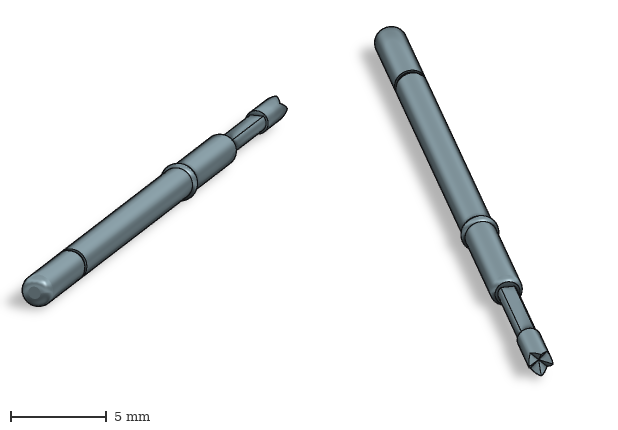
import cadquery as cq
import math

length = 37.3
groove_start = 5.37
groove_end = 5.67
ring_center = 22.3
ring_width = 0.6
barrel_front = 29.1
shoulder_length = 0.37
head_length = 3.0

barrel_radius = 0.85
ring_radius = 1.0
groove_radius = 0.75
shoulder_radius = 0.67
plunger_radius = 0.52
head_radius = 0.65
rear_rounding = 0.52

flat_height = 0.37
notch_depth = 0.65
notch_count = 2

head_back = length - head_length


def make_turned_body():
    """Barrel, retaining ring, plunger and head turned about the Y axis."""
    ring_back = ring_center - ring_width / 2
    ring_front = ring_center + ring_width / 2
    diagonal = math.sqrt(0.5)
    rear_mid = (
        barrel_radius - rear_rounding * (1 - diagonal),
        rear_rounding * (1 - diagonal),
    )
    shoulder_back = barrel_front - shoulder_length
    profile = (
        cq.Workplane("XY")
        .lineTo(barrel_radius - rear_rounding, 0)
        .threePointArc(rear_mid, (barrel_radius, rear_rounding))
        .lineTo(barrel_radius, groove_start)
        .lineTo(groove_radius, groove_start)
        .lineTo(groove_radius, groove_end)
        .lineTo(barrel_radius, groove_end)
        .lineTo(barrel_radius, ring_back)
        .threePointArc((ring_radius, ring_center), (barrel_radius, ring_front))
        .lineTo(barrel_radius, shoulder_back)
        .tangentArcPoint((shoulder_radius, barrel_front), relative=False)
        .lineTo(plunger_radius, barrel_front)
        .lineTo(plunger_radius, head_back)
        .lineTo(head_radius, head_back)
        .lineTo(head_radius, length)
        .lineTo(0, length)
        .close()
    )
    return profile.revolve(360, (0, 0, 0), (0, 1, 0))


def make_plunger_flat():
    """Material above the flat on top of the plunger."""
    flat_length = head_back - barrel_front
    return cq.Workplane("XY").box(
        2 * plunger_radius, flat_length, plunger_radius, centered=(True, False, False)
    ).translate((0, barrel_front, flat_height))


def make_crown_notch(angle):
    """V notch across the head; neighbouring notches meet at the crown points."""
    half_width = head_radius * math.sin(math.pi / (2 * notch_count))
    return (
        cq.Workplane("XY")
        .moveTo(-half_width, length)
        .lineTo(0, length - notch_depth)
        .lineTo(half_width, length)
        .close()
        .extrude(head_radius, both=True)
        .rotate((0, 0, 0), (0, 1, 0), angle)
    )


result = make_turned_body().cut(make_plunger_flat())
notch_pitch = 180 / notch_count
for index in range(notch_count):
    result = result.cut(make_crown_notch((index + 0.5) * notch_pitch))